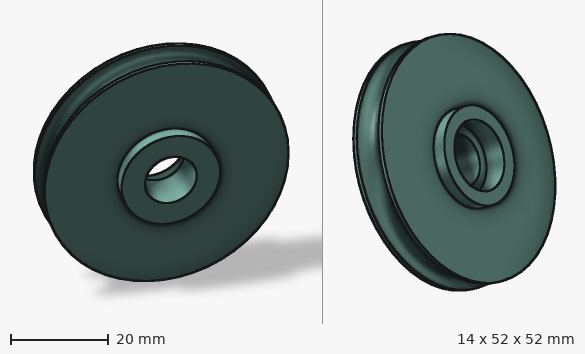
import cadquery as cq

rim_diameter = 52.0
rim_width = 8.0
hub_diameter = 21.0
hub_width = 14.0
bore_diameter = 11.0
seat_diameter = 15.0
seat_depth = 5.0
groove_radius = 3.0
groove_depth = 3.5

rim_radius = rim_diameter / 2
groove_floor = rim_radius - groove_depth
groove_shoulder = groove_floor + groove_radius


def cylinder(diameter, length, start_x):
    """Cylinder along X, running from start_x towards +X."""
    return cq.Workplane("YZ", origin=(start_x, 0, 0)).circle(diameter / 2).extrude(length)


rim = (
    cq.Workplane("XY")
    .moveTo(-rim_width / 2, 0)
    .lineTo(-rim_width / 2, rim_radius)
    .lineTo(-groove_radius, rim_radius)
    .lineTo(-groove_radius, groove_shoulder)
    .threePointArc((0, groove_floor), (groove_radius, groove_shoulder))
    .lineTo(groove_radius, rim_radius)
    .lineTo(rim_width / 2, rim_radius)
    .lineTo(rim_width / 2, 0)
    .close()
    .revolve(360, (0, 0, 0), (1, 0, 0))
)

hub = cylinder(hub_diameter, hub_width, -hub_width / 2)

bore = cylinder(bore_diameter, hub_width, -hub_width / 2)
bearing_seat = cylinder(seat_diameter, seat_depth, -hub_width / 2)

result = rim.union(hub).cut(bore).cut(bearing_seat)